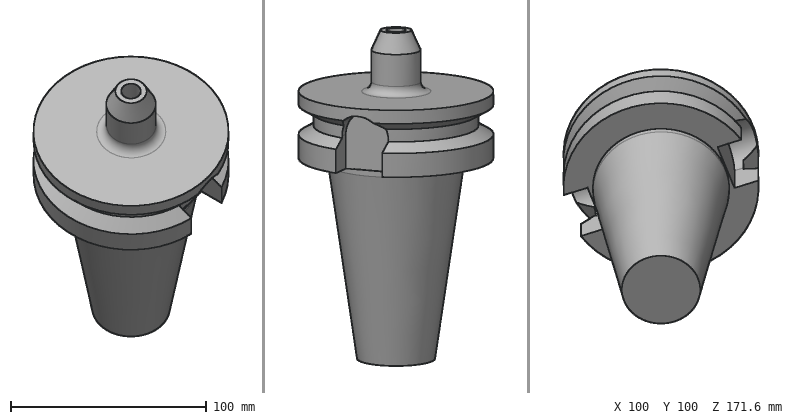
import cadquery as cq
import math


GAUGE_RADIUS = 69.85 / 2
TAPER_LENGTH = 101.8
TAPER_RATIO = 7 / 24
SMALL_END_RADIUS = GAUGE_RADIUS - TAPER_LENGTH * TAPER_RATIO / 2
COLLAR_HEIGHT = 3.0

FLANGE_RADIUS = 50.0
FLANGE_BOTTOM = COLLAR_HEIGHT
FLANGE_TOP = FLANGE_BOTTOM + 35.0
GROOVE_RADIUS = 42.3
GROOVE_CENTER = 23.2
GROOVE_FLOOR_WIDTH = 6.6
GROOVE_WALL_ANGLE = 30.0
GROOVE_WALL_RISE = (FLANGE_RADIUS - GROOVE_RADIUS) * math.tan(math.radians(GROOVE_WALL_ANGLE))
GROOVE_FLOOR_HALF = GROOVE_FLOOR_WIDTH / 2
GROOVE_MOUTH_HALF = GROOVE_FLOOR_HALF + GROOVE_WALL_RISE

NOSE_RADIUS = 12.7
NOSE_TIP_RADIUS = 8.0
NOSE_TOP = FLANGE_TOP + 31.85
NOSE_CONE_HEIGHT = 10.3
NOSE_FILLET = 5.0
BORE_RADIUS = 5.0
BORE_DEPTH = NOSE_TOP - FLANGE_TOP

KEYWAY_WIDTH = 25.7
KEYWAY_HEIGHT = 31.0
KEYWAY_FLOOR = 35.4
KEYWAY_ARC_RADIUS = KEYWAY_WIDTH / 2
KEYWAY_ARC_CENTER = FLANGE_BOTTOM + KEYWAY_HEIGHT - KEYWAY_ARC_RADIUS


def make_body():
    """Revolve the half-section of shank, flange and nose; XZ-plane points are (radius, Z)."""
    fillet_offset = NOSE_FILLET * (1 - math.sqrt(0.5))
    profile = (
        cq.Workplane("XZ")
        .moveTo(0, -TAPER_LENGTH)
        .lineTo(SMALL_END_RADIUS, -TAPER_LENGTH)
        .lineTo(GAUGE_RADIUS, 0)
        .lineTo(GAUGE_RADIUS, FLANGE_BOTTOM)
        .lineTo(FLANGE_RADIUS, FLANGE_BOTTOM)
        .lineTo(FLANGE_RADIUS, GROOVE_CENTER - GROOVE_MOUTH_HALF)
        .lineTo(GROOVE_RADIUS, GROOVE_CENTER - GROOVE_FLOOR_HALF)
        .lineTo(GROOVE_RADIUS, GROOVE_CENTER + GROOVE_FLOOR_HALF)
        .lineTo(FLANGE_RADIUS, GROOVE_CENTER + GROOVE_MOUTH_HALF)
        .lineTo(FLANGE_RADIUS, FLANGE_TOP)
        .lineTo(NOSE_RADIUS + NOSE_FILLET, FLANGE_TOP)
        .threePointArc(
            (NOSE_RADIUS + fillet_offset, FLANGE_TOP + fillet_offset),
            (NOSE_RADIUS, FLANGE_TOP + NOSE_FILLET),
        )
        .lineTo(NOSE_RADIUS, NOSE_TOP - NOSE_CONE_HEIGHT)
        .lineTo(NOSE_TIP_RADIUS, NOSE_TOP)
        .lineTo(0, NOSE_TOP)
        .close()
    )
    return profile.revolve(360, (0, 0, 0), (0, 1, 0))


def make_bore():
    """Blind hole down the nose, as deep as the nose is tall."""
    return cq.Workplane("XY").workplane(offset=NOSE_TOP).circle(BORE_RADIUS).extrude(-BORE_DEPTH)


def make_keyway(side):
    """Round-topped slot, open at the flange's lower face and rim; side is -1 or +1 along X."""
    return (
        cq.Workplane("YZ")
        .workplane(offset=side * KEYWAY_FLOOR)
        .moveTo(-KEYWAY_ARC_RADIUS, FLANGE_BOTTOM)
        .lineTo(KEYWAY_ARC_RADIUS, FLANGE_BOTTOM)
        .lineTo(KEYWAY_ARC_RADIUS, KEYWAY_ARC_CENTER)
        .threePointArc(
            (0, KEYWAY_ARC_CENTER + KEYWAY_ARC_RADIUS),
            (-KEYWAY_ARC_RADIUS, KEYWAY_ARC_CENTER),
        )
        .close()
        .extrude(side * FLANGE_RADIUS)
    )


result = make_body().cut(make_bore())
for keyway_side in (-1, 1):
    result = result.cut(make_keyway(keyway_side))